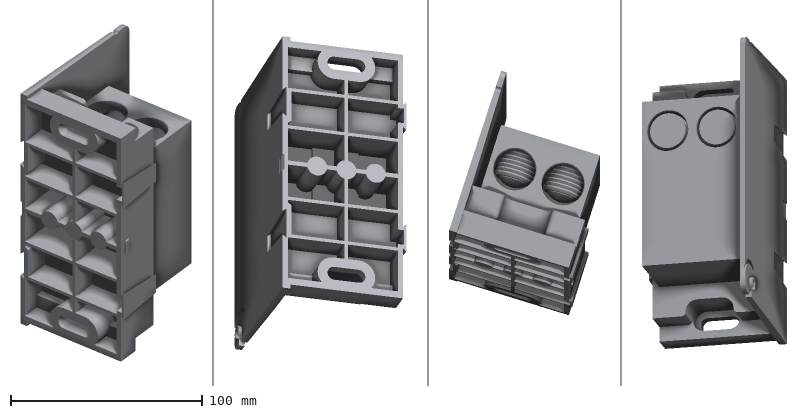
import cadquery as cq
import math


base_right = 30.85
base_half_length = 70.1
foot_height = 12.9
tier_height = 28.2
tier_half_length = 62.0

plate_left = -34.8
plate_right = -30.65
plate_middle = (plate_left + plate_right) / 2
plate_top_left = -34.4
plate_top_right = -31.5
plate_top = 90.17
plate_half_length = 72.39
plate_end_drop = 2.6
plate_flat_start = 79.0
plate_corner_radius = 4.3
hinge_height = 79.45
hinge_z = 63.4

pocket_left = -32.0
pocket_right = 28.1
pocket_end = 66.4
rib_thickness = 1.85
center_rib_thickness = 2.45
outer_rib_z = 42.1
inner_rib_z = 20.55
pocket_floor = 14.7
end_strip_floor = 10.2
end_strip_z = 58.6
center_side_floor = 22.0
center_mid_floor = 20.0
center_step_x = 12.5
thick_wall_x = -30.0
thick_wall_chamfer_z = (22.8, 24.3)
post_diameter = 10.79
post_pitch = 16.0

slot_z = 60.5
slot_offset = 6.6
slot_radius = 3.7
slot_boss_radius = 9.1
slot_recess_radius = 6.35
slot_seat_height = 5.6
slot_recess_fillet = 2.3
slot_recess_z = 59.6

dovetail_z = 35.0
dovetail_taper = 2.15
dovetail_flare = 1.6
rail_half_width = 6.3
rail_right = 32.7
recess_half_width = 6.75
recess_depth = 2.0
rail_hollow_half_width = 4.15
rail_hollow_right = 31.5
rail_hollow_taper = 0.7

snap_half_length = 4.4
snap_ridge_half_length = 3.95
snap_ramp = 1.95
snap_height = 0.95
snap_groove_crests = [(0.0, 0.0), (3.25, 5.2)]
snap_ridge_crests = snap_groove_crests[1:]

knob_diameter = 6.91
knob_left = -36.52
arch_radius = 1.75
mouth_start_half_width = 2.1
mouth_end_half_width = 2.5
mouth_start_z = -65.8
notch_diameter = 3.0
notch_depth = 1.0
track_radius = 11.85
track_width = 2.3
track_depth = 1.0
track_lead_in_length = 1.7
track_lead_in_depth = 1.2
track_start_angle = 53.0
track_end_angle = 190.0

block_half_width = 27.1
block_top = 66.26
block_half_length = 45.0
wire_hole_diameter = 22.23
wire_hole_x = 13.25
wire_hole_chamfer = 0.4
wire_hole_y = 45.75
wire_hole_depth = 30.0
drill_point_angle = 118.0
screw_hole_bottom = 42.35
screw_z = 28.2

screw_root_radius = 19.05 / 2
screw_crest_radius = 10.3
thread_pitch = 2.3
thread_lower_flank = 1.4
thread_count = 9
first_crest_y = 44.15
tip_radius = 7.6
tip_height = 3.2


def box(x0, x1, y0, y1, z0, z1):
    size = (x1 - x0, y1 - y0, z1 - z0)
    return cq.Workplane("XY").box(*size, centered=False).translate((x0, y0, z0))


def xz_plane(y):
    """Workplane at height y whose extrusions run toward +Y and whose local x is -X."""
    return cq.Workplane(cq.Plane(origin=(0, y, 0), xDir=(-1, 0, 0), normal=(0, 1, 0)))


def yz_plane(x):
    """Workplane at x whose local axes are Y and Z and whose extrusions run toward +X."""
    return cq.Workplane("YZ", origin=(x, 0, 0))


def obround(z, radius, y0, y1):
    length = 2 * (slot_offset + radius)
    return xz_plane(y0).center(0, z).slot2D(length, 2 * radius).extrude(y1 - y0)


def dovetail(narrow_x, wide_x, z, half_width, flare, taper=dovetail_taper):
    """Dovetail along Y: half_width at narrow_x, flared at wide_x, tapering up to the tier."""

    def section(half):
        wide = half + flare
        return [(narrow_x, z - half), (wide_x, z - wide), (wide_x, z + wide), (narrow_x, z + half)]

    return (
        cq.Workplane("XZ")
        .polyline(section(half_width))
        .close()
        .workplane(offset=-tier_height)
        .polyline(section(half_width - taper))
        .close()
        .loft(ruled=True)
    )


def side_plate():
    section = [
        (plate_left, 0),
        (plate_right, 0),
        (plate_right, tier_height),
        (plate_top_right, plate_top),
        (plate_top_left, plate_top),
        (plate_left, tier_height),
    ]
    slab = (
        cq.Workplane("XY", origin=(0, 0, -plate_half_length))
        .polyline(section)
        .close()
        .extrude(2 * plate_half_length)
    )
    top_half_length = plate_half_length - plate_end_drop
    outline = (
        yz_plane(plate_left)
        .moveTo(0, -plate_half_length)
        .lineTo(plate_flat_start, -top_half_length)
        .lineTo(plate_top, -top_half_length)
        .lineTo(plate_top, top_half_length)
        .lineTo(plate_flat_start, top_half_length)
        .lineTo(0, plate_half_length)
        .close()
        .extrude(plate_right - plate_left)
        .edges("|X and >Y")
        .fillet(plate_corner_radius)
    )
    plate = slab.intersect(outline)
    notch_z = top_half_length + notch_diameter / 2 - notch_depth
    notch = (
        yz_plane(plate_left)
        .center(hinge_height, notch_z)
        .circle(notch_diameter / 2)
        .extrude(plate_right - plate_left)
    )
    return plate.cut(notch)


def hinge_track():
    """Arc groove around the hinge knob, running out through the plate's free edge."""

    def point(radius, angle):
        """Point at an angle that starts on the base side of the knob and turns over its top."""
        a = math.radians(angle)
        return (hinge_height - radius * math.cos(a), radius * math.sin(a) - hinge_z)

    inner = track_radius - track_width / 2
    outer = track_radius + track_width / 2
    middle = (track_start_angle + track_end_angle) / 2
    floor_x = plate_top_left + track_depth
    lead_in_x = floor_x + track_lead_in_depth
    arc = (
        yz_plane(plate_left)
        .moveTo(*point(inner, track_start_angle))
        .threePointArc(point(inner, middle), point(inner, track_end_angle))
        .lineTo(*point(outer, track_end_angle))
        .threePointArc(point(outer, middle), point(outer, track_start_angle))
        .close()
        .extrude(lead_in_x - plate_left)
    )
    cap = (
        yz_plane(plate_left)
        .center(*point(track_radius, track_start_angle))
        .circle(track_width / 2)
        .extrude(floor_x - plate_left)
    )
    outer_end = hinge_height + outer
    floor_slope = track_lead_in_depth / track_lead_in_length
    depth_limit = (
        cq.Workplane("XY", origin=(0, 0, -plate_half_length))
        .polyline(
            [
                (plate_left, plate_flat_start - outer),
                (floor_x, plate_flat_start - outer),
                (floor_x, plate_top - track_lead_in_length),
                (floor_x + floor_slope * (outer_end - plate_top + track_lead_in_length), outer_end),
                (plate_left, outer_end),
            ]
        )
        .close()
        .extrude(plate_half_length)
    )
    return arc.intersect(depth_limit).union(cap)


def hinge_knob():
    return (
        yz_plane(knob_left)
        .center(hinge_height, -hinge_z)
        .circle(knob_diameter / 2)
        .extrude(plate_middle - knob_left)
    )


def hinge_slot():
    """Arched slot through knob and plate, with a flared mouth at the plate's end."""
    y = hinge_height
    z = -plate_half_length
    return (
        yz_plane(knob_left)
        .moveTo(y - arch_radius, -hinge_z)
        .threePointArc((y, arch_radius - hinge_z), (y + arch_radius, -hinge_z))
        .lineTo(y + arch_radius, mouth_start_z)
        .lineTo(y + mouth_start_half_width, mouth_start_z)
        .lineTo(y + mouth_end_half_width, z)
        .lineTo(y - mouth_end_half_width, z)
        .lineTo(y - mouth_start_half_width, mouth_start_z)
        .lineTo(y - arch_radius, mouth_start_z)
        .close()
        .extrude(plate_right - knob_left)
    )


def pockets():
    """All hollows of the upper half (Z > 0), before the bosses are put back."""
    half_rib = rib_thickness / 2
    cells = None
    rows = [
        (center_rib_thickness / 2, inner_rib_z - half_rib, center_mid_floor),
        (inner_rib_z + half_rib, outer_rib_z - half_rib, pocket_floor),
        (outer_rib_z + half_rib, end_strip_z, pocket_floor),
        (end_strip_z, pocket_end, end_strip_floor),
    ]
    for x0, x1 in [(pocket_left, -half_rib), (half_rib, pocket_right)]:
        for z0, z1, floor in rows:
            cell = box(x0, x1, 0, floor, z0, z1)
            cells = cells.union(cell) if cells else cell
    center_z0, center_z1, _ = rows[0]
    for x0, x1 in [(pocket_left, -center_step_x), (center_step_x, pocket_right)]:
        cells = cells.union(box(x0, x1, 0, center_side_floor, center_z0, center_z1))

    chamfer_z0, chamfer_z1 = thick_wall_chamfer_z
    row_end = outer_rib_z - half_rib
    thick_wall = (
        xz_plane(0)
        .polyline(
            [
                (-pocket_left, chamfer_z0),
                (-thick_wall_x, chamfer_z1),
                (-thick_wall_x, row_end),
                (-pocket_left, row_end),
            ]
        )
        .close()
        .extrude(pocket_floor)
    )
    rail_hollow = dovetail(
        pocket_right, rail_hollow_right, dovetail_z, rail_hollow_half_width, 0, rail_hollow_taper
    )
    rail_hollow = rail_hollow.intersect(
        box(pocket_right, rail_hollow_right, 0, pocket_floor, 0, pocket_end)
    )
    slot_boss = obround(slot_z, slot_boss_radius, 0, tier_height)
    return cells.cut(thick_wall).union(rail_hollow).cut(slot_boss)


def posts():
    return (
        xz_plane(0)
        .pushPoints([(i * post_pitch, 0) for i in (-1, 0, 1)])
        .circle(post_diameter / 2)
        .extrude(tier_height)
    )


def slot_recess():
    """Bolt head clearance in the upper half's tier, open toward +Z."""
    half_width = slot_offset + slot_recess_radius
    opening = box(-half_width, half_width, foot_height, tier_height, slot_recess_z, base_half_length)
    return obround(slot_recess_z, slot_recess_radius, slot_seat_height, tier_height).union(opening)


def snap_ridges(face_x, half_length, crests):
    """Ridges pointing toward +X from face_x: a flat crest from y0 to y1, then a ramp toward +Y."""
    ridges = None
    for y0, y1 in crests:
        outline = [
            (face_x + snap_height, y0),
            (face_x + snap_height, y1),
            (face_x, y1 + snap_ramp),
            (face_x, y0),
        ]
        if y0 == y1:
            outline = outline[1:]
        ridge = (
            cq.Workplane("XY", origin=(0, 0, -half_length))
            .polyline(outline)
            .close()
            .extrude(2 * half_length)
        )
        ridges = ridges.union(ridge) if ridges else ridge
    return ridges


def both_ends(half):
    return half.union(half.mirror("XY"))


def make_housing():
    foot = box(plate_middle, base_right, 0, foot_height, -base_half_length, base_half_length)
    tier = box(plate_middle, base_right, 0, tier_height, -tier_half_length, tier_half_length)
    tier = tier.cut(both_ends(slot_recess()))
    recess_half = slot_offset + slot_recess_radius
    reach = slot_recess_fillet
    for x in (-recess_half, recess_half):
        for z in (-tier_half_length, tier_half_length):
            corner = cq.selectors.BoxSelector(
                (x - reach, 0, z - reach), (x + reach, tier_height, z + reach)
            )
            tier = tier.edges("|Y").edges(corner).fillet(slot_recess_fillet)

    body = side_plate().union(foot).union(tier)
    rail = dovetail(base_right, rail_right, dovetail_z, rail_half_width, dovetail_flare)
    body = body.union(both_ends(rail))
    body = body.union(snap_ridges(base_right, snap_ridge_half_length, snap_ridge_crests))
    body = body.cut(both_ends(pockets()).cut(posts()))
    body = body.cut(both_ends(slot_recess()))
    body = body.cut(both_ends(obround(slot_z, slot_radius, 0, slot_seat_height)))

    recess_bottom = plate_left + recess_depth
    recess = dovetail(plate_left, recess_bottom, dovetail_z, recess_half_width, dovetail_flare)
    body = body.cut(both_ends(recess))
    body = body.cut(snap_ridges(plate_left, snap_half_length, snap_groove_crests))

    return body.cut(hinge_track()).union(hinge_knob()).cut(hinge_slot())


def wire_hole(x):
    """Blind hole from the block's +Z end with a conical drill point."""
    radius = wire_hole_diameter / 2
    point_depth = radius / math.tan(math.radians(drill_point_angle / 2))
    return (
        cq.Workplane("XZ")
        .polyline(
            [
                (0, 0),
                (radius + wire_hole_chamfer, 0),
                (radius, -wire_hole_chamfer),
                (radius, -wire_hole_depth),
                (0, -wire_hole_depth - point_depth),
            ]
        )
        .close()
        .revolve(360, (0, 0), (0, 1))
        .translate((x, wire_hole_y, block_half_length))
    )


def screw_hole(x):
    return (
        xz_plane(screw_hole_bottom)
        .center(-x, screw_z)
        .circle(wire_hole_diameter / 2)
        .extrude(block_top - screw_hole_bottom)
    )


def make_block():
    block = box(
        -block_half_width,
        block_half_width,
        tier_height,
        block_top,
        -block_half_length,
        block_half_length,
    )
    for x in (-wire_hole_x, wire_hole_x):
        block = block.cut(wire_hole(x)).cut(screw_hole(x))
    return block


def make_set_screw(x):
    """Set screw along Y with ring threads and a domed tip."""
    thread_start = first_crest_y - thread_lower_flank
    tip_y = screw_hole_bottom - tip_height
    dome_radius = (tip_radius**2 + tip_height**2) / (2 * tip_height)
    half_angle = math.asin(tip_radius / dome_radius) / 2
    dome_middle = (
        dome_radius * math.sin(half_angle),
        tip_y + dome_radius * (1 - math.cos(half_angle)),
    )
    profile = (
        cq.Workplane("XY")
        .moveTo(0, tip_y)
        .threePointArc(dome_middle, (tip_radius, screw_hole_bottom))
        .lineTo(tip_radius, thread_start)
        .lineTo(screw_root_radius, thread_start)
    )
    for i in range(thread_count):
        root_y = thread_start + i * thread_pitch
        profile = profile.lineTo(screw_crest_radius, root_y + thread_lower_flank)
        profile = profile.lineTo(screw_root_radius, root_y + thread_pitch)
    profile = profile.lineTo(screw_root_radius, block_top).lineTo(0, block_top).close()
    return profile.revolve(360, (0, 0), (0, 1)).translate((x, 0, screw_z))


housing = make_housing()
block = make_block()
set_screws = [make_set_screw(x) for x in (-wire_hole_x, wire_hole_x)]

result = cq.Compound.makeCompound([housing.val(), block.val(), *[screw.val() for screw in set_screws]])